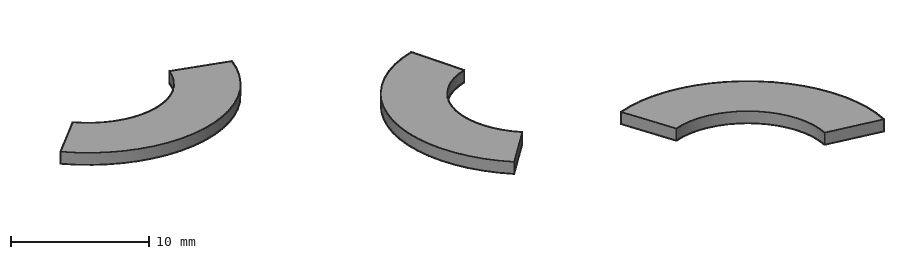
import cadquery as cq
import math

length = 19.05
inner_radius = 6.2
thickness = 1.0
sweep_angle = 120.0

half_angle = math.radians(sweep_angle / 2)
outer_radius = length / 2 / math.sin(half_angle)


def end_point(radius, side):
    """Corner at the given radius on the +Y (side=1) or -Y (side=-1) end."""
    return (radius * math.cos(half_angle), side * radius * math.sin(half_angle))


result = (
    cq.Workplane("XY")
    .moveTo(*end_point(inner_radius, -1))
    .lineTo(*end_point(outer_radius, -1))
    .threePointArc((outer_radius, 0), end_point(outer_radius, 1))
    .lineTo(*end_point(inner_radius, 1))
    .threePointArc((inner_radius, 0), end_point(inner_radius, -1))
    .close()
    .extrude(thickness)
)